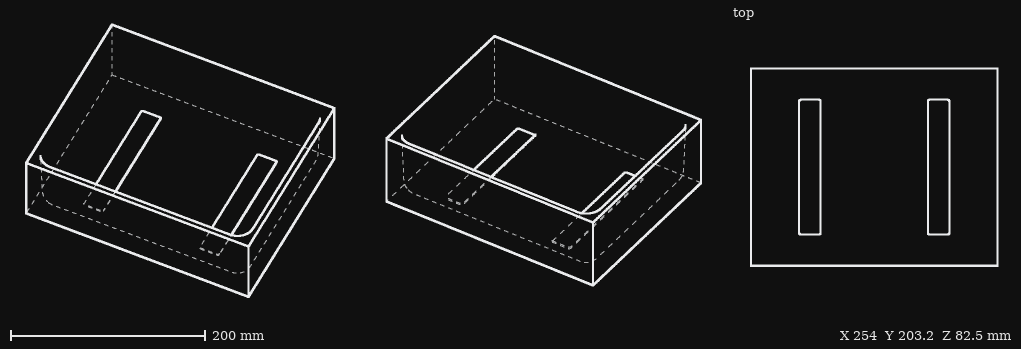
import cadquery as cq

LENGTH = 254.0
WIDTH = 203.2
HEIGHT = 82.5

RIM_WIDTH = 5.0
RIM_FILLET = 1.5
WALL_THICKNESS_TOP = RIM_WIDTH + RIM_FILLET
WALL_DRAFT_ANGLE = 2.0
FLOOR_THICKNESS = 7.5
BASIN_CORNER_RADIUS = 17.5
FLOOR_FILLET = 15.7

RECESS_LENGTH = 139.7
RECESS_WIDTH = 23.4
RECESS_SPACING = 132.3
RECESS_DEPTH = 3.0
RECESS_DRAFT_ANGLE = 10.0
RECESS_CORNER_RADIUS = 2.5


def make_tapered_pocket(length, width, corner_radius, top, bottom, draft_angle):
    """Solid that fills a rounded rectangular pocket narrowing from top to bottom."""
    opening = cq.Sketch().rect(length, width).vertices().fillet(corner_radius)
    return (
        cq.Workplane("XY", origin=(0, 0, top))
        .placeSketch(opening)
        .extrude(bottom - top, taper=draft_angle)
    )


def make_basin():
    basin = make_tapered_pocket(
        LENGTH - 2 * WALL_THICKNESS_TOP,
        WIDTH - 2 * WALL_THICKNESS_TOP,
        BASIN_CORNER_RADIUS,
        HEIGHT,
        FLOOR_THICKNESS,
        WALL_DRAFT_ANGLE,
    )
    return basin.faces("<Z").edges().fillet(FLOOR_FILLET)


def make_recess():
    return make_tapered_pocket(
        RECESS_WIDTH,
        RECESS_LENGTH,
        RECESS_CORNER_RADIUS,
        FLOOR_THICKNESS,
        FLOOR_THICKNESS - RECESS_DEPTH,
        RECESS_DRAFT_ANGLE,
    )


def round_opening_edges(body, face_selector):
    """Round over the edges of every opening in the selected level face."""
    openings = body.faces(face_selector).val().innerWires()
    opening_edges = [edge for opening in openings for edge in opening.Edges()]
    return body.newObject(opening_edges).fillet(RIM_FILLET)


block = cq.Workplane("XY").box(LENGTH, WIDTH, HEIGHT, centered=(True, True, False))

tray = round_opening_edges(block.cut(make_basin()), ">Z")

for side in (-1, 1):
    tray = tray.cut(make_recess().translate((side * RECESS_SPACING / 2, 0, 0)))

result = round_opening_edges(tray, "|Z and >Z[-2]")